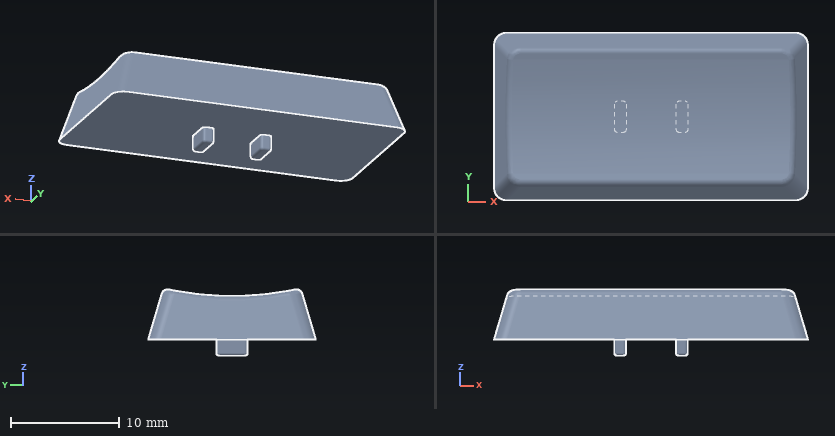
import cadquery as cq

BODY_LENGTH = 29.0
BODY_WIDTH = 15.5
WALL_TAPER = 16.5
CORNER_RADIUS = 1.25
BLANK_HEIGHT = 5.5

DISH_RADIUS = 28.0
DISH_FLOOR_HEIGHT = 4.02
RIM_FILLET = 0.6

STEM_SPACING = 5.7
STEM_THICKNESS = 1.1
STEM_WIDTH = 2.9
STEM_LENGTH = 1.5
STEM_CORNER_RADIUS = 0.3
STEM_TIP_FILLET = 0.25


def make_blank():
    """Tapered block standing on Z = 0, with evenly rounded corner edges."""
    blank = (
        cq.Workplane("XY")
        .rect(BODY_LENGTH, BODY_WIDTH)
        .extrude(BLANK_HEIGHT, taper=WALL_TAPER)
    )
    corner_edges = blank.edges("not(#Z)")
    return corner_edges.fillet(CORNER_RADIUS)


def make_dish_cutter():
    """Cylinder whose lowest line is the centre line of the dish floor."""
    return (
        cq.Workplane("YZ")
        .center(0, DISH_FLOOR_HEIGHT + DISH_RADIUS)
        .circle(DISH_RADIUS)
        .extrude(BODY_LENGTH / 2, both=True)
    )


def make_body():
    """Dished block with the rim around the dish rounded over."""
    dished = make_blank().cut(make_dish_cutter())
    dish_face = dished.faces("%CYLINDER").faces(
        cq.selectors.NearestToPointSelector((0, 0, DISH_FLOOR_HEIGHT))
    )
    return dish_face.edges().fillet(RIM_FILLET)


def make_stem(x_position):
    """Peg hanging below the body, with rounded corners and tip."""
    return (
        cq.Workplane("XY")
        .center(x_position, 0)
        .rect(STEM_THICKNESS, STEM_WIDTH)
        .extrude(-STEM_LENGTH)
        .edges("|Z")
        .fillet(STEM_CORNER_RADIUS)
        .faces("<Z")
        .edges()
        .fillet(STEM_TIP_FILLET)
    )


result = make_body()
for side in (-1, 1):
    result = result.union(make_stem(side * STEM_SPACING / 2))